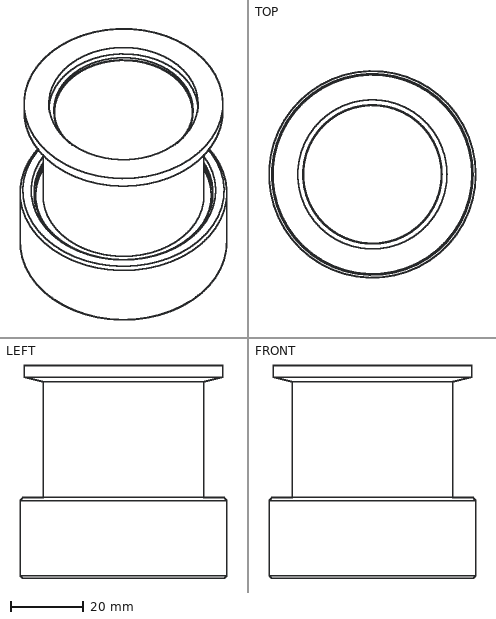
import cadquery as cq

height = 58.8
collar_diameter = 57.15
tube_diameter = 44.45
bore_diameter = 38.1

collar_height = 22.35
collar_top_chamfer_height = 0.9
collar_top_chamfer_width = 0.75
collar_bottom_chamfer = 0.7

recess_mouth_diameter = 51.0
recess_throat_diameter = 49.45
recess_lead_in_depth = (recess_mouth_diameter - recess_throat_diameter) / 2
recess_floor_diameter = 48.5
recess_ledge_depth = 2.0
recess_depth = 2.25

flange_diameter = 55.0
flange_rim_height = 3.25
flange_taper_height = 1.3

seat_diameter = 41.2
seat_depth = 2.7
relief_diameter = 38.45
relief_depth = 3.65


def cylinder(diameter, bottom, top):
    """Vertical cylinder on the Z axis between two levels."""
    return cq.Workplane("XY").workplane(offset=bottom).circle(diameter / 2).extrude(top - bottom)


def make_collar():
    collar_radius = collar_diameter / 2
    shoulder_radius = collar_radius - collar_top_chamfer_width
    recess_ledge = collar_height - recess_ledge_depth
    recess_floor = collar_height - recess_depth
    profile = (
        cq.Workplane("XZ")
        .moveTo(0, 0)
        .lineTo(collar_radius - collar_bottom_chamfer, 0)
        .lineTo(collar_radius, collar_bottom_chamfer)
        .lineTo(collar_radius, collar_height - collar_top_chamfer_height)
        .lineTo(shoulder_radius, collar_height)
        .lineTo(recess_mouth_diameter / 2, collar_height)
        .lineTo(recess_throat_diameter / 2, collar_height - recess_lead_in_depth)
        .lineTo(recess_throat_diameter / 2, recess_ledge)
        .lineTo(recess_floor_diameter / 2, recess_ledge)
        .lineTo(recess_floor_diameter / 2, recess_floor)
        .lineTo(0, recess_floor)
        .close()
    )
    return profile.revolve(360, (0, 0, 0), (0, 1, 0))


def make_flange():
    rim_bottom = height - flange_rim_height
    profile = (
        cq.Workplane("XZ")
        .moveTo(0, height)
        .lineTo(flange_diameter / 2, height)
        .lineTo(flange_diameter / 2, rim_bottom)
        .lineTo(tube_diameter / 2, rim_bottom - flange_taper_height)
        .lineTo(0, rim_bottom - flange_taper_height)
        .close()
    )
    return profile.revolve(360, (0, 0, 0), (0, 1, 0))


tube = cylinder(tube_diameter, 0, height)
body = make_collar().union(tube).union(make_flange())

bore = cylinder(bore_diameter, 0, height)
relief = cylinder(relief_diameter, height - relief_depth, height)
seat = cylinder(seat_diameter, height - seat_depth, height)

result = body.cut(bore).cut(relief).cut(seat)